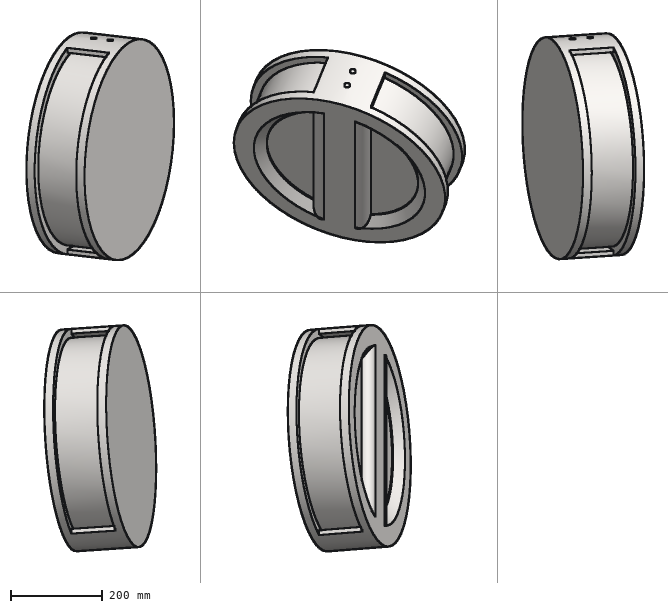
import cadquery as cq
import math

outer_diameter = 489.0
body_width = 140.0
flange_width = 20.0
drum_radius = 225.0

bridge_half_width = 66.0
bridge_underside = 224.5

seat_mouth_radius = 198.0
seat_inner_radius = 175.0
seat_depth = 20.5
plate_setback = 2.5

bar_half_width = 35.5
barrel_radius = 22.0
barrel_rise = 1.5

pin_diameter = 12.0
pin_length = 19.5
first_pin_x = 54.5
pin_spacing = 40.0

outer_radius = outer_diameter / 2
recess_depth = seat_depth + plate_setback
barrel_axis_x = barrel_radius - barrel_rise
barrel_axis_y = bar_half_width + math.sqrt(barrel_radius**2 - barrel_axis_x**2)
barrel_side_y = barrel_axis_y + barrel_radius


def disc(radius, x_start, length):
    """Solid cylinder about the X axis."""
    return cq.Workplane("YZ", origin=(x_start, 0, 0)).circle(radius).extrude(length)


def make_groove():
    """Ring space between the flanges, interrupted by the two bridges."""
    groove_width = body_width - 2 * flange_width
    ring = disc(outer_radius, flange_width, groove_width)
    ring = ring.cut(disc(drum_radius, flange_width, groove_width))
    bridge_height = outer_radius - bridge_underside
    for side in (1, -1):
        bridge_middle = (body_width / 2, 0, side * (bridge_underside + bridge_height / 2))
        bridge = cq.Workplane("XY", origin=bridge_middle)
        ring = ring.cut(bridge.box(groove_width, 2 * bridge_half_width, bridge_height))
    return ring


def make_bowl():
    """Tapered seat, carried on past the front face to the barrel tops, and its short straight step."""
    taper = (seat_mouth_radius - seat_inner_radius) / seat_depth
    return (
        cq.Workplane("XY")
        .moveTo(-barrel_rise, 0)
        .lineTo(-barrel_rise, seat_mouth_radius + taper * barrel_rise)
        .lineTo(seat_depth, seat_inner_radius)
        .lineTo(recess_depth, seat_inner_radius)
        .lineTo(recess_depth, 0)
        .close()
        .revolve(360, (0, 0, 0), (1, 0, 0))
    )


def make_bar():
    """Flat bar with a barrel on each side, reaching from wall to wall of the bowl."""
    arc_turn = math.sqrt(0.5) * barrel_radius
    profile = (
        cq.Workplane("XY", origin=(0, 0, -outer_radius))
        .moveTo(0, -bar_half_width)
        .lineTo(0, bar_half_width)
        .threePointArc((barrel_axis_x - arc_turn, barrel_axis_y + arc_turn), (barrel_axis_x, barrel_side_y))
        .lineTo(recess_depth, barrel_side_y)
        .lineTo(recess_depth, -barrel_side_y)
        .lineTo(barrel_axis_x, -barrel_side_y)
        .threePointArc((barrel_axis_x - arc_turn, -barrel_axis_y - arc_turn), (0, -bar_half_width))
        .close()
    )
    return profile.extrude(outer_diameter).intersect(make_bowl())


def make_pins():
    """Two pins whose flat heads sit level with the crown of the top bridge."""
    pin_places = [(first_pin_x, 0), (first_pin_x + pin_spacing, 0)]
    pins = cq.Workplane("XY", origin=(0, 0, outer_radius - pin_length)).pushPoints(pin_places)
    return pins.circle(pin_diameter / 2).extrude(pin_length)


body = disc(outer_radius, 0, body_width).cut(make_groove()).cut(make_bowl())
result = body.union(make_bar()).union(make_pins())